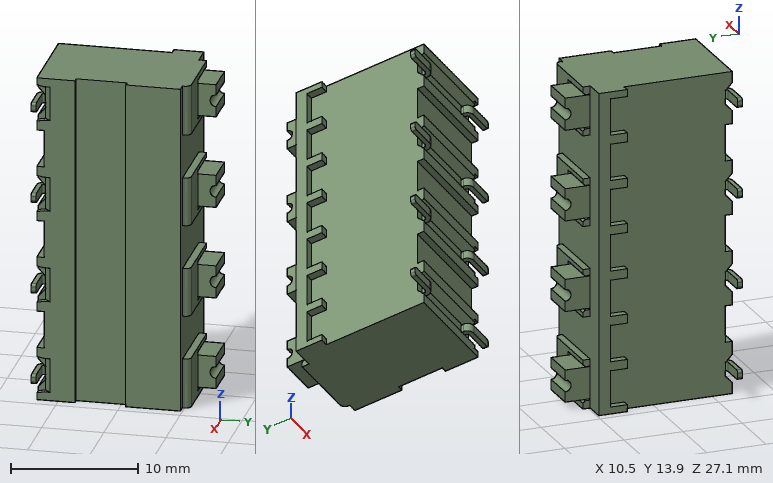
import cadquery as cq

pole_count = 4
length = 27.05
end_margin = 2.1
pitch = (length - 2 * end_margin) / (pole_count - 1)
pole_centres = [(i - (pole_count - 1) / 2) * pitch for i in range(pole_count)]

body_left = -3.65
body_right = 4.1
body_back = 11.55
flange_left = -4.3
flange_front = 10.55

tooth_front = 9.15
tooth_width = 0.75
tooth_gap_half = (pitch / 2 - tooth_width) / 2

notch_floor = 3.65
notch_front = 3.05
notch_back = 7.15

groove_depth = 0.6
vee_floor_half = 0.55
vee_mouth_half = 1.2

pocket_draft = 0.2
pocket_ramp = body_right - notch_floor

pad_left = -2.5
pad_right = 3.38
pad_height = 0.62
pad_half = 2.0
pad_radius = 0.5

button_left = -2.4
button_width = 3.0
button_half = 1.35
button_back = 13.65
button_clearance = button_left - pad_left
recess_chamfer = 0.2
finger_groove_depth = 0.5
finger_groove_half = 0.5

lead_thickness = 0.4
lead_width = 0.78
lead_front = -0.22
lead_tip = 5.25
lead_inner = 2.57
lead_bend_radius = 0.2
lead_tip_radius = 0.22


def box(x0, x1, y0, y1, z0, z1):
    """Box between two opposite corners."""
    return cq.Workplane("XY").box(x1 - x0, y1 - y0, z1 - z0, centered=False).translate((x0, y0, z0))


def across_x(points, x0, x1):
    """Prism along X from an outline of (y, z) points."""
    return cq.Workplane("YZ").polyline(points).close().extrude(x1 - x0).translate((x0, 0, 0))


def make_housing():
    bottom, top = -length / 2, length / 2
    housing = box(body_left, body_right, 0, body_back, bottom, top)
    housing = housing.union(box(flange_left, body_left, tooth_front, body_back, bottom, top))
    return housing.cut(box(notch_floor, body_right, notch_front, notch_back, bottom, top))


def make_tooth_gap(z):
    """Space between two neighbouring teeth in front of the flange."""
    return box(flange_left, body_left, tooth_front, flange_front, z - tooth_gap_half, z + tooth_gap_half)


def make_lead_groove(z):
    """Groove with sloped sides around a pair of leads."""
    outline = [
        (0, z - vee_mouth_half),
        (groove_depth, z - vee_floor_half),
        (groove_depth, z + vee_floor_half),
        (0, z + vee_mouth_half),
    ]
    return across_x(outline, body_left, body_right)


def make_ramped_pocket(z):
    """Edge pocket with a drafted mouth whose inner end rises at 45 degrees to the +X face."""
    depth = groove_depth + pocket_ramp
    end_half = tooth_gap_half - pocket_draft * groove_depth
    outline = [
        (0, z - tooth_gap_half),
        (groove_depth, z - end_half),
        (depth, z - end_half),
        (depth, z + end_half),
        (groove_depth, z + end_half),
        (0, z + tooth_gap_half),
    ]
    ramp = (
        cq.Workplane("XY")
        .polyline([(notch_floor, 0), (body_right, 0), (body_right, depth), (notch_floor, groove_depth)])
        .close()
        .extrude(length)
        .translate((0, 0, -length / 2))
    )
    return across_x(outline, notch_floor, body_right).intersect(ramp)


def make_pad(z):
    """Raised pad with a recess for the button; the end pads reach the ends of the housing."""
    bottom = -length / 2 if z == pole_centres[0] else z - pad_half
    top = length / 2 if z == pole_centres[-1] else z + pad_half
    pad_back = body_back + pad_height
    pad = box(pad_left, pad_right, body_back, pad_back, bottom, top)
    pad = pad.edges("|Z and >X and >Y").fillet(pad_radius)
    recess_half = button_half + button_clearance
    mouth_half = recess_half + recess_chamfer
    outline = [
        (body_back, z - recess_half),
        (pad_back - recess_chamfer, z - recess_half),
        (pad_back, z - mouth_half),
        (pad_back, z + mouth_half),
        (pad_back - recess_chamfer, z + recess_half),
        (body_back, z + recess_half),
    ]
    recess_right = button_left + button_width + button_clearance
    return pad.cut(across_x(outline, pad_left, recess_right))


def make_button(z):
    """Push button with a rounded groove across its outer face."""
    outline = (
        cq.Workplane("YZ")
        .moveTo(body_back, z - button_half)
        .lineTo(button_back, z - button_half)
        .lineTo(button_back, z - finger_groove_half)
        .threePointArc((button_back - finger_groove_depth, z), (button_back, z + finger_groove_half))
        .lineTo(button_back, z + button_half)
        .lineTo(body_back, z + button_half)
        .close()
    )
    return outline.extrude(button_width).translate((button_left, 0, 0))


def make_lead(z):
    """Lead on the +X side: a post out of the groove floor, bent outwards to a rounded tip."""
    lead_back = lead_front + lead_thickness
    post_outer = lead_inner + lead_thickness
    outline = [
        (lead_inner, groove_depth),
        (lead_inner, lead_front),
        (lead_tip, lead_front),
        (lead_tip, lead_back),
        (post_outer, lead_back),
        (post_outer, groove_depth),
    ]
    lead = cq.Workplane("XY").polyline(outline).close().extrude(lead_width)
    lead = lead.edges("|Z and <X and <Y").fillet(lead_bend_radius + lead_thickness)
    inner_corner = cq.selectors.NearestToPointSelector((post_outer, lead_back, lead_width / 2))
    lead = lead.edges(inner_corner).fillet(lead_bend_radius)
    lead = lead.edges("|Y and >X").fillet(lead_tip_radius)
    return lead.translate((0, 0, z - lead_width / 2))


result = make_housing()

for pole_z in pole_centres:
    result = result.cut(make_tooth_gap(pole_z))
    result = result.cut(make_lead_groove(pole_z))
    result = result.cut(make_ramped_pocket(pole_z))
    lead = make_lead(pole_z)
    result = result.union(lead).union(lead.mirror("YZ"))
    result = result.union(make_pad(pole_z))
    result = result.union(make_button(pole_z))

for pole_z in pole_centres[:-1]:
    gap_z = pole_z + pitch / 2
    result = result.cut(make_tooth_gap(gap_z))
    result = result.cut(
        box(body_left, body_right, 0, groove_depth, gap_z - tooth_gap_half, gap_z + tooth_gap_half)
    )